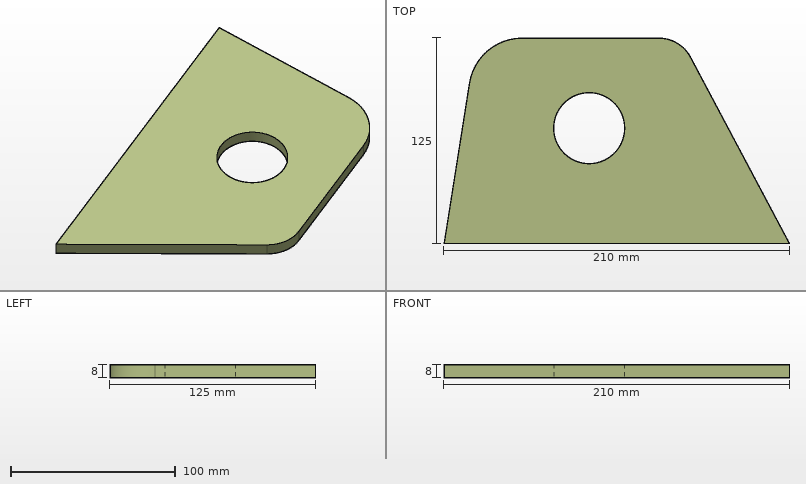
import cadquery as cq

base_length = 210.0
depth = 125.0
thickness = 8.0
left_inset = 19.7
right_inset = 66.4

left_corner_radius = 32.5
right_corner_radius = 21.8

hole_diameter = 43.0
hole_x = 88.2
hole_y = 70.2


def make_plate():
    """Flat plate with sloping sides and two rounded back corners."""
    outline = [
        (0, 0),
        (base_length, 0),
        (base_length - right_inset, depth),
        (left_inset, depth),
    ]
    plate = cq.Workplane("XY").polyline(outline).close().extrude(thickness)
    rounded_corners = [
        (left_inset, left_corner_radius),
        (base_length - right_inset, right_corner_radius),
    ]
    for corner_x, radius in rounded_corners:
        corner = cq.selectors.NearestToPointSelector((corner_x, depth, thickness / 2))
        plate = plate.edges(corner).fillet(radius)
    return plate


def make_hole():
    """Cylinder that cuts the round hole through the plate."""
    return cq.Workplane("XY").center(hole_x, hole_y).circle(hole_diameter / 2).extrude(thickness)


result = make_plate().cut(make_hole())